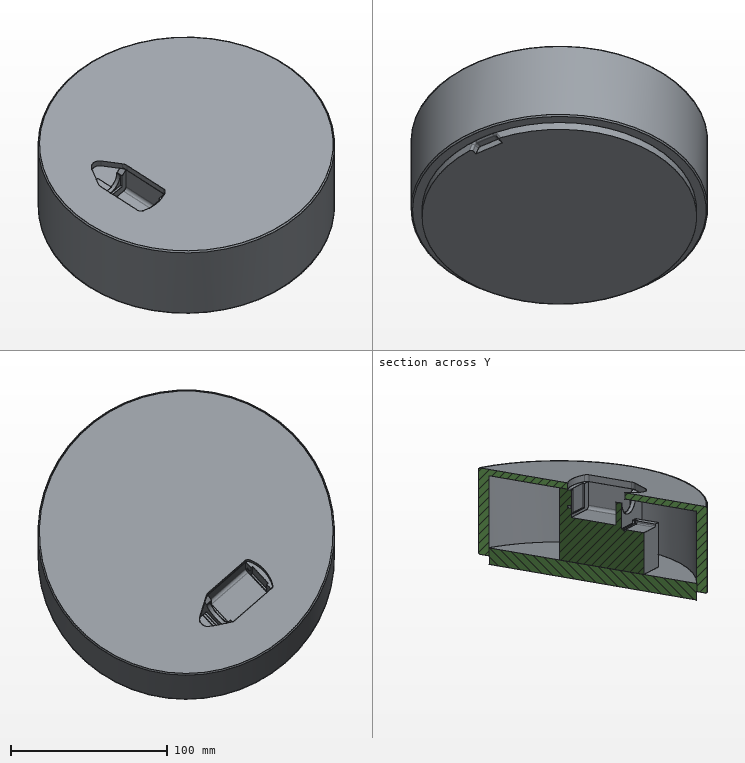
import cadquery as cq
import math

outer_radius = 95.0
total_height = 64.0
foot_height = 5.7
base_radius = 88.0
base_thickness = 11.4
cover_plate = 4.5
edge_chamfer = 1.0
plate_underside = total_height - cover_plate

select_margin = 0.2

opening_y = -51.9
opening_half_width = 12.5
tip_x = -33.6
tip_radius = 5.3
tip_angle = math.radians(31)
bow_x = 20.3
bow_radius = 24.7
shoulder_round = 5.7
bow_corner_round = 2.8

notch_half_width = 10.0
notch_slope = math.radians(62)
notch_height = 4.5
notch_depth = 5.7
notch_corner_round = 1.9
notch_mouth_round = 1.5

holder_left = -38.0
holder_right = 24.7
holder_half_width = 17.1
pocket_left = -17.0
pocket_right = 15.8
pocket_floor = 41.2
pocket_round = 2.3
recess_depth = 1.24
recess_half_width = 7.5
recess_floor_rise = 1.9
recess_floor = pocket_floor + recess_floor_rise
peg_hole_diameter = 2.3
peg_hole_depth = 2.8
peg_hole_y = 10.0
peg_hole_z = 48.0

gate_left = -21.3
gate_radius = 8.5
gate_axis_z = 55.7
collar_thickness = 1.5
collar_half_width = 9.0
collar_step = 0.5
collar_floor = gate_axis_z - gate_radius - collar_step
flare_depth = 3.0

shelf_z = pocket_floor
shelf_half_width = 9.1
channel_side = -5.1
channel_depth = 1.9
channel_round = 0.8
groove_left = -24.3
groove_width = 1.7
groove_side = -6.3
groove_depth = 2.8


def block(x_range, y_range, z_range):
    """Box given by its limits along each axis."""
    size = [high - low for low, high in (x_range, y_range, z_range)]
    corner = (x_range[0], y_range[0], z_range[0])
    return cq.Workplane("XY").box(*size, centered=False).translate(corner)


def make_opening():
    """Cutter for the opening, through the cover plate."""
    tip_centre_x = tip_x + tip_radius
    tangent_x = tip_centre_x - tip_radius * math.sin(tip_angle)
    tangent_y = tip_radius * math.cos(tip_angle)
    shoulder_x = tangent_x + (opening_half_width - tangent_y) / math.tan(tip_angle)
    bow_end_x = bow_x - bow_radius + math.sqrt(bow_radius**2 - opening_half_width**2)
    opening = (
        cq.Workplane("XY", origin=(0, opening_y, plate_underside))
        .moveTo(tangent_x, -tangent_y)
        .lineTo(shoulder_x, -opening_half_width)
        .lineTo(bow_end_x, -opening_half_width)
        .threePointArc((bow_x, 0), (bow_end_x, opening_half_width))
        .lineTo(shoulder_x, opening_half_width)
        .lineTo(tangent_x, tangent_y)
        .threePointArc((tip_x, 0), (tangent_x, -tangent_y))
        .close()
        .extrude(cover_plate)
    )

    def corners_at(x):
        return cq.selectors.BoxSelector(
            (x - select_margin, -outer_radius, 0), (x + select_margin, outer_radius, total_height)
        )

    opening = opening.edges("|Z").edges(corners_at(shoulder_x)).fillet(shoulder_round)
    return opening.edges("|Z").edges(corners_at(bow_end_x)).fillet(bow_corner_round)


def make_cover():
    """Round cup, open downwards, with the opening in its top plate."""
    drum = (
        cq.Workplane("XY", origin=(0, 0, foot_height))
        .circle(outer_radius)
        .extrude(total_height - foot_height)
        .faces("<Z or >Z").edges().chamfer(edge_chamfer)
        .rotate((0, 0, 0), (0, 0, 1), -90)
    )
    cavity = cq.Workplane("XY").circle(base_radius).extrude(plate_underside)
    return drum.cut(cavity).cut(make_opening())


def make_base():
    """Disc that plugs the cover, with a cable notch in its -Y rim."""
    disc = cq.Workplane("XY").circle(base_radius).extrude(base_thickness)
    disc = disc.rotate((0, 0, 0), (0, 0, 1), 90)
    notch_top_half = notch_half_width - notch_height / math.tan(notch_slope)
    notch = (
        cq.Workplane("XZ", origin=(0, notch_depth - base_radius, 0))
        .moveTo(-notch_half_width, 0)
        .lineTo(notch_half_width, 0)
        .lineTo(notch_top_half, notch_height)
        .lineTo(-notch_top_half, notch_height)
        .close()
        .extrude(2 * notch_depth)
        .edges("|Y and >Z").fillet(notch_corner_round)
    )
    mouth = cq.selectors.BoxSelector(
        (-notch_half_width, -base_radius - select_margin, select_margin),
        (notch_half_width, notch_depth / 2 - base_radius, notch_height + select_margin),
    )
    return disc.cut(notch).edges(mouth).fillet(notch_mouth_round)


def make_pocket():
    """Cutter for the pocket, its +X recess and the small hole in its +X wall."""
    sides = (opening_y - opening_half_width, opening_y + opening_half_width)
    pocket = block((pocket_left, pocket_right), sides, (pocket_floor, plate_underside))
    pocket = pocket.edges("|X and <Z").fillet(pocket_round)
    recess = block(
        (pocket_left, pocket_right + recess_depth),
        (opening_y - recess_half_width, opening_y + recess_half_width),
        (recess_floor, plate_underside),
    )
    peg_hole = (
        cq.Workplane("YZ", origin=(pocket_right, opening_y + peg_hole_y, peg_hole_z))
        .circle(peg_hole_diameter / 2)
        .extrude(peg_hole_depth)
    )
    return pocket.union(recess).union(peg_hole)


def make_gate():
    """Cutter for the round-bottomed, flared cable gate and the square slot beside the pocket."""
    gate_length = pocket_left - gate_left
    gate_plane = cq.Workplane("YZ", origin=(gate_left, opening_y, 0))
    trough = (
        gate_plane.moveTo(-gate_radius, plate_underside)
        .lineTo(-gate_radius, gate_axis_z)
        .threePointArc((0, gate_axis_z - gate_radius), (gate_radius, gate_axis_z))
        .lineTo(gate_radius, plate_underside)
        .close()
        .extrude(gate_length)
    )
    flared_mouth = (
        gate_plane.moveTo(-opening_half_width, plate_underside)
        .lineTo(-collar_half_width, plate_underside - flare_depth)
        .lineTo(collar_half_width, plate_underside - flare_depth)
        .lineTo(opening_half_width, plate_underside)
        .close()
        .extrude(gate_length)
    )
    collar_slot = block(
        (pocket_left - collar_thickness, pocket_left),
        (opening_y - collar_half_width, opening_y + collar_half_width),
        (collar_floor, plate_underside),
    )
    return trough.union(flared_mouth).union(collar_slot)


def make_shelf_cut():
    """Cutter that lowers the -X end of the holder to a shelf with a cable channel and a groove."""
    holder_sides = (opening_y - holder_half_width, opening_y + holder_half_width)
    above_shelf = block((holder_left, gate_left), holder_sides, (shelf_z, plate_underside))
    channel = block(
        (holder_left, gate_left),
        (opening_y + channel_side, holder_sides[1]),
        (shelf_z - channel_depth, shelf_z),
    )
    channel = channel.edges("|X and <Z and <Y").fillet(channel_round)
    groove = block(
        (groove_left, groove_left + groove_width),
        (opening_y + groove_side, holder_sides[1]),
        (shelf_z - groove_depth, shelf_z),
    )
    cutter = above_shelf.union(channel).union(groove)
    for side in (-1, 1):
        flank = sorted((side * shelf_half_width, side * holder_half_width))
        beside_shelf = block(
            (holder_left, gate_left),
            (opening_y + flank[0], opening_y + flank[1]),
            (base_thickness, plate_underside),
        )
        cutter = cutter.union(beside_shelf)
    return cutter


def make_holder():
    """Block between the base and the cover plate that holds a plug and its cable."""
    body = block(
        (holder_left, holder_right),
        (opening_y - holder_half_width, opening_y + holder_half_width),
        (base_thickness, plate_underside),
    )
    return body.cut(make_pocket()).cut(make_gate()).cut(make_shelf_cut())


cover = make_cover()
base = make_base()
holder = make_holder()

result = cq.Compound.makeCompound([cover.val(), base.val(), holder.val()])